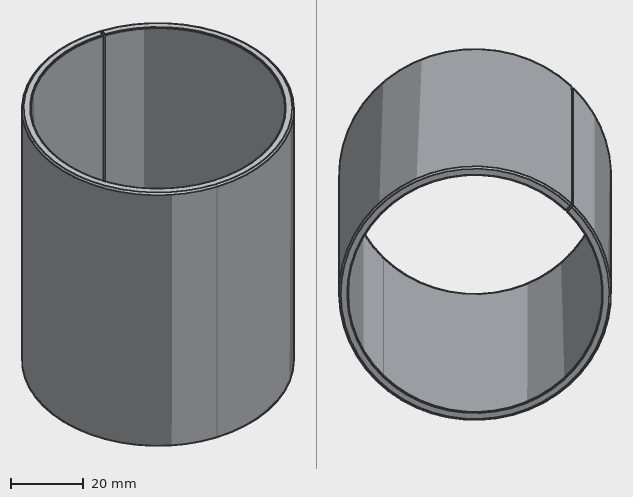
import cadquery as cq

length = 90.0
outer_diameter = 75.0
wall = 2.5
outer_chamfer = 0.5
inner_chamfer = 0.3
slit_width = 0.6

outer_radius = outer_diameter / 2
inner_radius = outer_radius - wall


def sleeve():
    """Tube with chamfered inner and outer rims at both ends."""
    outer = cq.Workplane("XY").cylinder(length, outer_radius)
    outer = outer.edges("%CIRCLE").chamfer(outer_chamfer)
    bore = cq.Workplane("XY").cylinder(length, inner_radius)
    tube = outer.cut(bore)
    return tube.edges(cq.selectors.RadiusNthSelector(0)).chamfer(inner_chamfer)


def slit():
    """Butt joint gap through the -X wall, with one face on the XZ plane."""
    gap = cq.Workplane("XY").box(outer_radius, slit_width, length)
    return gap.translate((-outer_radius, slit_width / 2, 0))


result = sleeve().cut(slit())